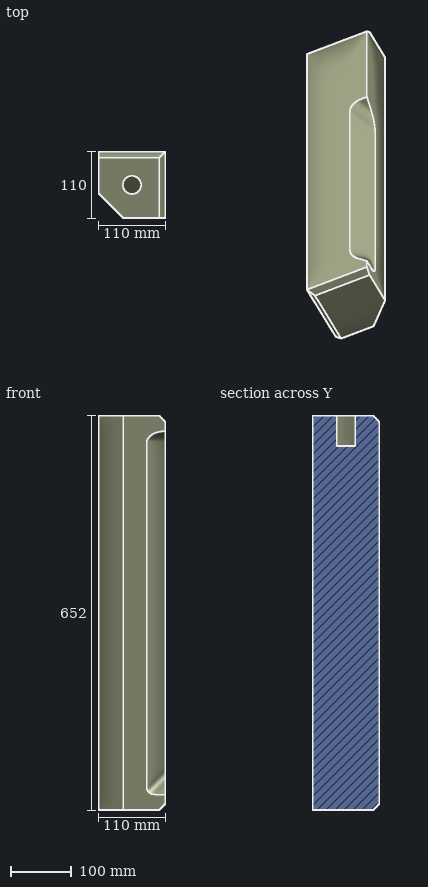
import cadquery as cq

WIDTH = 110.0
HEIGHT = 652.0
HALF = WIDTH / 2
CORNER_CHAMFER = 40.5
END_CHAMFER = 10.0

BORE_DIAMETER = 30.0
BORE_DEPTH = 50.0

NOTCH_LEG = 31.0
NOTCH_BOTTOM = 26.0
FRONT_NOTCH_TOP = HEIGHT - 26.0
BACK_NOTCH_TOP = HEIGHT - 186.0
NOTCH_FILLET = 20.0
BACK_TOP_FILLET = 30.0
MARGIN = 20.0

FRONT_CORNER = cq.Vector(1, -1, 0)
BACK_CORNER = cq.Vector(-1, 1, 0)


def make_bar():
    """Square bar with one broad vertical chamfer and bevelled +X and +Y end edges."""
    bar = cq.Workplane("XY").box(WIDTH, WIDTH, HEIGHT, centered=(True, True, False))
    bar = bar.edges("|Z and <X and <Y").chamfer(CORNER_CHAMFER)
    return bar.faces("<Z or >Z").edges(">X or >Y").chamfer(END_CHAMFER)


def corner_prism():
    """Triangular prism covering the (+X, -Y) corner, its long side being the notch flat."""
    outer = HALF + MARGIN
    inner = HALF - NOTCH_LEG - MARGIN
    return (
        cq.Workplane("XY")
        .polyline([(inner, -outer), (outer, -outer), (outer, -inner)])
        .close()
        .extrude(HEIGHT)
    )


def side_slab(plane, outline):
    """Outline in a vertical plane, extruded both ways past the sides of the bar."""
    return cq.Workplane(plane).polyline(outline).close().extrude(WIDTH, both=True)


def rising_bottom_outline(top):
    """Outline below a level top, its bottom rising inward at 45 degrees from the bar's side."""
    return [
        (-HALF - MARGIN, NOTCH_BOTTOM - MARGIN),
        (HALF, NOTCH_BOTTOM + WIDTH),
        (HALF, top),
        (-HALF - MARGIN, top),
    ]


def round_flat_end(cutter, corner, end, radius):
    """Round the edge where the notch flat meets its lower ("<Z") or upper (">Z") end."""
    notch_flat = cutter.faces(cq.selectors.DirectionMinMaxSelector(corner, False))
    return notch_flat.edges("not |Z").edges(end).fillet(radius)


def front_notch():
    """Notch at (+X, -Y): level top, bottom rising at 45 degrees toward +Y."""
    notch = corner_prism().intersect(side_slab("YZ", rising_bottom_outline(FRONT_NOTCH_TOP)))
    notch = round_flat_end(notch, FRONT_CORNER, "<Z", NOTCH_FILLET)
    return round_flat_end(notch, FRONT_CORNER, ">Z", NOTCH_FILLET)


def back_notch():
    """Notch at (-X, +Y): bottom rising at 45 degrees toward +X, top rising toward +Y."""
    prism = corner_prism().rotate((0, 0, 0), (0, 0, 1), 180)
    below_sloped_top = side_slab("YZ", [
        (-HALF, 0),
        (HALF + MARGIN, 0),
        (HALF + MARGIN, BACK_NOTCH_TOP + MARGIN),
        (-HALF, BACK_NOTCH_TOP - WIDTH),
    ])
    above_sloped_bottom = side_slab("XZ", rising_bottom_outline(HEIGHT))
    notch = prism.intersect(above_sloped_bottom).intersect(below_sloped_top)
    notch = round_flat_end(notch, BACK_CORNER, "<Z", NOTCH_FILLET)
    return round_flat_end(notch, BACK_CORNER, ">Z", BACK_TOP_FILLET)


def top_bore():
    """Round blind bore on the bar axis."""
    return (
        cq.Workplane("XY", origin=(0, 0, HEIGHT - BORE_DEPTH))
        .circle(BORE_DIAMETER / 2)
        .extrude(BORE_DEPTH)
    )


result = make_bar().cut(front_notch()).cut(back_notch()).cut(top_bore())